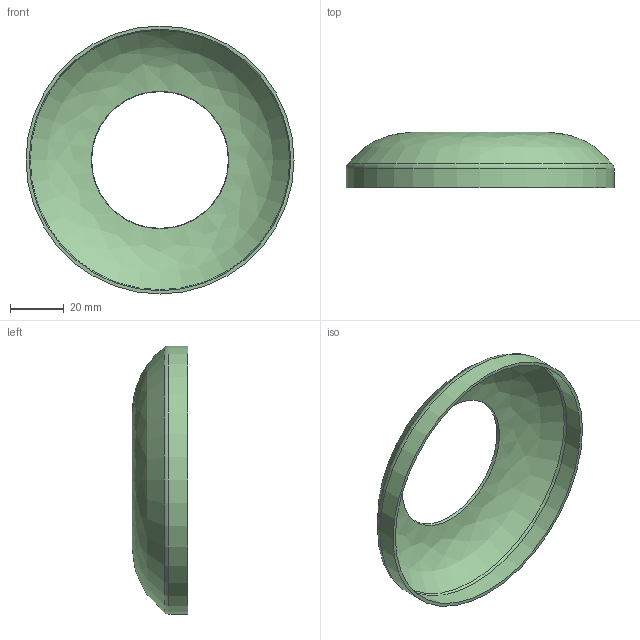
import cadquery as cq
import math

outer_radius = 50.0
hole_radius = 25.5
hole_widening = 0.15
rim_height = 7.0
shoulder_radius = 3.0
dome_radius = 30.0
wall = 1.2

inner_rim_radius = outer_radius - wall
inner_shoulder_radius = shoulder_radius - wall
inner_dome_radius = dome_radius - wall

shoulder_center = (outer_radius - shoulder_radius, rim_height)
center_offset_r = shoulder_center[0] - hole_radius
center_offset_y = math.sqrt((dome_radius - shoulder_radius) ** 2 - center_offset_r ** 2)
dome_center = (hole_radius, rim_height - center_offset_y)

tangent_angle = math.atan2(center_offset_y, center_offset_r)
shoulder_mid_angle = tangent_angle / 2
outer_top_angle = math.pi / 2
inner_top_angle = math.acos(hole_widening / inner_dome_radius)


def arc_point(center, radius, angle):
    """Point on a circle at the given angle from the radial direction."""
    return (center[0] + radius * math.cos(angle), center[1] + radius * math.sin(angle))


def shell_profile():
    """Half section of the wall: outer skin up to the hole, then the inner skin back to the rim."""
    outer_mid_angle = (tangent_angle + outer_top_angle) / 2
    inner_mid_angle = (tangent_angle + inner_top_angle) / 2
    return (
        cq.Workplane("ZY")
        .moveTo(outer_radius, 0)
        .lineTo(outer_radius, rim_height)
        .threePointArc(
            arc_point(shoulder_center, shoulder_radius, shoulder_mid_angle),
            arc_point(shoulder_center, shoulder_radius, tangent_angle),
        )
        .threePointArc(
            arc_point(dome_center, dome_radius, outer_mid_angle),
            arc_point(dome_center, dome_radius, outer_top_angle),
        )
        .lineTo(*arc_point(dome_center, inner_dome_radius, inner_top_angle))
        .threePointArc(
            arc_point(dome_center, inner_dome_radius, inner_mid_angle),
            arc_point(dome_center, inner_dome_radius, tangent_angle),
        )
        .threePointArc(
            arc_point(shoulder_center, inner_shoulder_radius, shoulder_mid_angle),
            (inner_rim_radius, rim_height),
        )
        .lineTo(inner_rim_radius, 0)
        .close()
    )


result = shell_profile().revolve(360, (0, 0, 0), (0, 1, 0))